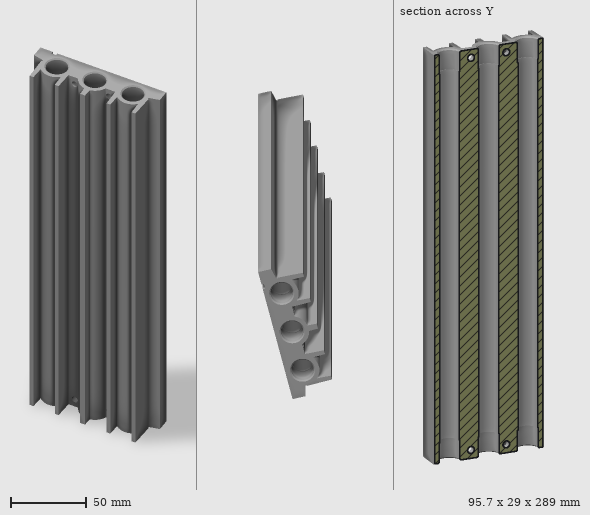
import cadquery as cq

length = 289.0
width = 95.7
depth = 29.0

tube_pitch = 29.0
tube_centre_y = -11.5
tube_outer_radius = 11.3
bore_diameter = 14.2
counterbore_diameter = 15.0
counterbore_depth = 14.5
mouth_chamfer = 1.0

web_thickness = 16.0
flange_side_thickness = 9.0
flange_root_thickness = 11.0

rib_pair_x = 29.2
side_rib_offset = 9.5
side_rib_tip_width = 3.0
middle_rib_tip_width = 3.8
rib_draft = 0.5

groove_x = -36.7
groove_width = 3.5
groove_depth = 1.7

mount_hole_diameter = 4.5
mount_hole_x = 13.0
mount_hole_end_distance = 6.0

bottom_z = -length / 2
outer_rib_x = rib_pair_x + side_rib_offset
tube_centres = [(x, tube_centre_y) for x in (-tube_pitch, 0, tube_pitch)]


def full_length_bar(outline):
    """Extrude a closed XY outline over the whole length."""
    return cq.Workplane("XY", origin=(0, 0, bottom_z)).polyline(outline).close().extrude(length)


def plate():
    """Back plate with a thick web and thinner, sloping side flanges."""
    right_side = [
        (width / 2, 0),
        (width / 2, -flange_side_thickness),
        (outer_rib_x, -flange_root_thickness),
        (outer_rib_x, -web_thickness),
    ]
    left_side = [(-x, y) for x, y in reversed(right_side)]
    return full_length_bar(right_side + left_side)


def rib(centre_x, tip_width):
    """Tapered rib reaching from the tube centre line to the front."""
    half_tip = tip_width / 2
    half_root = half_tip + rib_draft
    return full_length_bar([
        (centre_x - half_tip, -depth),
        (centre_x + half_tip, -depth),
        (centre_x + half_root, tube_centre_y),
        (centre_x - half_root, tube_centre_y),
    ])


def round_bars(diameter, start_z, height):
    """Round bars on the three tube axes."""
    return (
        cq.Workplane("XY", origin=(0, 0, start_z))
        .pushPoints(tube_centres)
        .circle(diameter / 2)
        .extrude(height)
    )


def bores():
    """Through bores with a wider, chamfered mouth at both ends."""
    mouth_z = length / 2 - counterbore_depth
    top_mouths = round_bars(counterbore_diameter, mouth_z, counterbore_depth)
    top_cones = (
        cq.Workplane("XY", origin=(0, 0, length / 2))
        .pushPoints(tube_centres)
        .circle(counterbore_diameter / 2 + mouth_chamfer)
        .extrude(-2 * mouth_chamfer, taper=45)
    )
    top_ends = top_mouths.union(top_cones)
    bottom_ends = top_ends.mirror("XY")
    return round_bars(bore_diameter, bottom_z, length).union(top_ends).union(bottom_ends)


def groove():
    """Narrow rectangular groove along the back face."""
    left = groove_x - groove_width / 2
    right = groove_x + groove_width / 2
    return full_length_bar([(left, 0), (right, 0), (right, -groove_depth), (left, -groove_depth)])


def mount_holes():
    """Two cross holes near each end, between the tubes."""
    hole_z = length / 2 - mount_hole_end_distance
    centres = [(x, z) for x in (-mount_hole_x, mount_hole_x) for z in (-hole_z, hole_z)]
    return cq.Workplane("XZ").pushPoints(centres).circle(mount_hole_diameter / 2).extrude(depth)


body = plate().union(round_bars(2 * tube_outer_radius, bottom_z, length))

body = body.union(rib(0, middle_rib_tip_width))
for pair_x in (-rib_pair_x, rib_pair_x):
    for offset in (-side_rib_offset, side_rib_offset):
        body = body.union(rib(pair_x + offset, side_rib_tip_width))

result = body.cut(bores()).cut(groove()).cut(mount_holes())